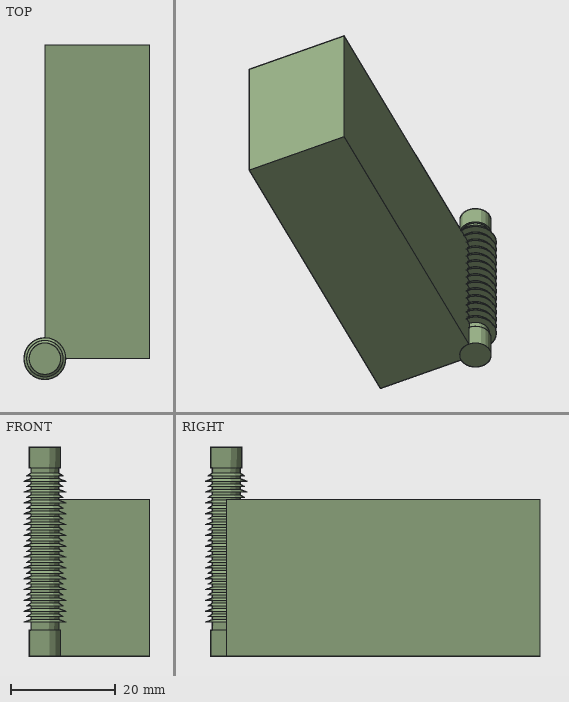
import cadquery as cq

overall_x = 24.0
overall_y = 64.0
overall_z = 40.0

cap_diameter = 6.0
core_diameter = 5.4
large_shed_diameter = 8.0
small_shed_diameter = 7.0
lower_cap_height = 5.0
upper_cap_height = 4.0

shed_pairs = 14
shed_height = 0.5
lowest_shed_z = 6.5
highest_shed_z = 34.5
shed_pitch = (highest_shed_z - lowest_shed_z) / (2 * shed_pairs - 1)

block_x = overall_x - large_shed_diameter / 2
block_y = overall_y - large_shed_diameter / 2
block_z = 30.0


def make_insulator():
    """Revolve the stepped, shedded half profile about the Z axis."""
    cap_radius = cap_diameter / 2
    core_radius = core_diameter / 2
    upper_cap_z = overall_z - upper_cap_height

    profile = [
        (0, 0),
        (cap_radius, 0),
        (cap_radius, lower_cap_height),
        (core_radius, lower_cap_height),
    ]
    for pair in range(shed_pairs):
        for step, diameter in enumerate((large_shed_diameter, small_shed_diameter)):
            shed_z = lowest_shed_z + (2 * pair + step) * shed_pitch
            profile += [
                (core_radius, shed_z),
                (diameter / 2, shed_z),
                (core_radius, shed_z + shed_height),
            ]
    profile += [
        (core_radius, upper_cap_z),
        (cap_radius, upper_cap_z),
        (cap_radius, overall_z),
        (0, overall_z),
    ]
    return cq.Workplane("XZ").polyline(profile).close().revolve(360, (0, 0, 0), (0, 1, 0))


def make_block(insulator):
    """Plain block whose corner is recessed to match the insulator."""
    blank = cq.Workplane("XY").box(block_x, block_y, block_z, centered=False)
    return blank.cut(insulator)


insulator = make_insulator()
block = make_block(insulator)

result = cq.Compound.makeCompound([insulator.val(), block.solids().val()])